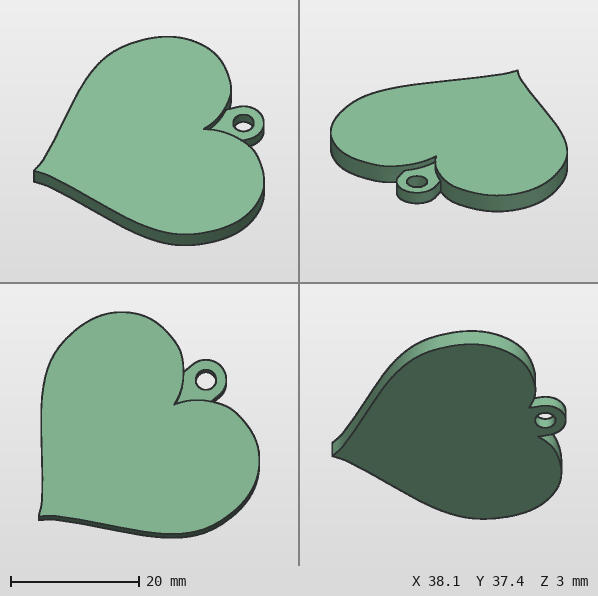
import cadquery as cq


heart_width = 38.05
heart_height = 34.33
heart_thickness = 3.0
notch_height = 27.7
widest_height = 23.6
lobe_peak_offset = 9.15

part_length = 37.37
lug_radius = 3.2
lug_thickness = 2.0
hole_diameter = 3.2

half_width = heart_width / 2
lug_center_height = part_length - lug_radius

notch = (0, notch_height)
lobe_inner = (1.65, 30.75)
lobe_shoulder = (4.85, 33.45)
lobe_peak = (lobe_peak_offset, heart_height)
lobe_outer = (16.0, 31.6)
widest = (half_width, widest_height)
side_upper = (17.93, 17.77)
side_lower = (14.3, 12.75)
flank = (6.62, 6.3)
flank_end = (2.25, 2.63)
tip = (0, 0)

notch_direction = (1, 3)
peak_direction = (1, 0)
widest_direction = (0, -1)
tip_direction = (-2, -3)


def make_heart():
    """Heart plate: one drawn half plus its mirror image."""
    right_half = (
        cq.Workplane("XY")
        .moveTo(*notch)
        .spline(
            [lobe_inner, lobe_shoulder, lobe_peak],
            tangents=[notch_direction, peak_direction],
            includeCurrent=True,
        )
        .spline(
            [lobe_outer, widest],
            tangents=[peak_direction, widest_direction],
            includeCurrent=True,
        )
        .spline(
            [side_upper, side_lower, flank, flank_end, tip],
            tangents=[widest_direction, tip_direction],
            includeCurrent=True,
        )
        .close()
        .extrude(heart_thickness)
    )
    return right_half.union(right_half.mirror("YZ"))


def make_lug():
    """Thinner round-ended tongue that runs down into the notch of the heart."""
    return (
        cq.Workplane("XY")
        .moveTo(-lug_radius, lug_center_height)
        .threePointArc((0, part_length), (lug_radius, lug_center_height))
        .lineTo(lug_radius, notch_height)
        .lineTo(-lug_radius, notch_height)
        .close()
        .extrude(lug_thickness)
    )


def make_lug_hole():
    """Through hole concentric with the round end of the lug."""
    return (
        cq.Workplane("XY")
        .center(0, lug_center_height)
        .circle(hole_diameter / 2)
        .extrude(lug_thickness)
    )


result = make_heart().union(make_lug()).cut(make_lug_hole())